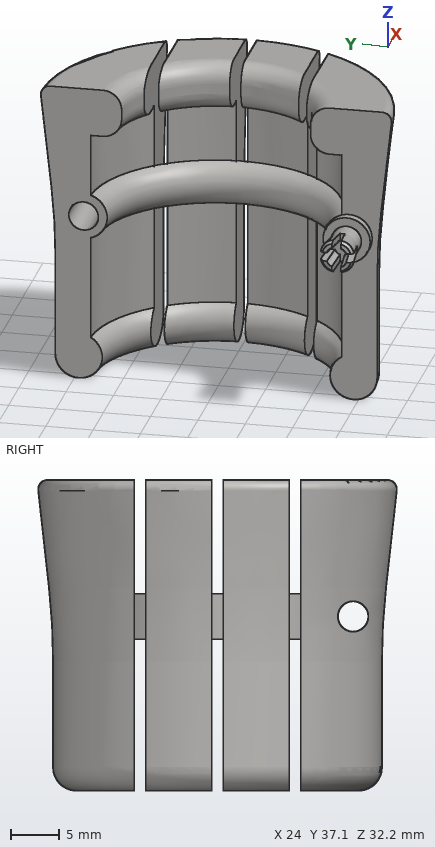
import cadquery as cq
import math

height = 32.15
axis_setback = 0.55

wall_outer_radius = 17.0
wall_inner_radius = 13.27
flare_start_height = 13.35
flare_end_height = 21.02
flare_angle = math.radians(6.3)
rim_fillet = 1.0

bottom_bead_radius = 2.5
lip_inner_radius = 10.0
lip_thickness = 5.1
lip_fillet = 2.0
lip_overlap = 1.1
middle_bead_radius = 2.5
middle_bead_ring_radius = 14.0
middle_bead_height = 18.0

slot_width = 1.2
slot_pitch = 8.0

hole_radius = 1.55
pin_flange_length = 1.0
pin_shaft_radius = 1.55
pin_shaft_end = 3.1
pin_tip = 6.1
prong_slot_width = 0.5
prong_bore_radius = 0.8
prong_chamfer_length = 0.37
prong_chamfer_depth = 0.3
prong_tilt = 6.5
prong_root_overlap = 0.37

oversize = 74.15


def spin(profile):
    """Revolve a closed profile of radius and height about the vertical ring axis."""
    return profile.revolve(360, (0, 0, 0), (0, 1, 0))


def make_bead(ring_radius, center_height, bead_radius):
    return cq.Workplane(cq.Solid.makeTorus(ring_radius, bead_radius, cq.Vector(0, 0, center_height)))


def make_wall():
    flare_rise = flare_end_height - flare_start_height
    flare_radius = flare_rise / math.sin(flare_angle)
    half_angle = flare_angle / 2
    arc_middle = (
        wall_outer_radius + flare_radius * (1 - math.cos(half_angle)),
        flare_start_height + flare_radius * math.sin(half_angle),
    )
    arc_end_radius = wall_outer_radius + flare_radius * (1 - math.cos(flare_angle))
    rim_radius = arc_end_radius + (height - flare_end_height) * math.tan(flare_angle)
    wall = spin(
        cq.Workplane("XZ")
        .moveTo(wall_inner_radius, bottom_bead_radius)
        .lineTo(wall_outer_radius, bottom_bead_radius)
        .lineTo(wall_outer_radius, flare_start_height)
        .threePointArc(arc_middle, (arc_end_radius, flare_end_height))
        .lineTo(rim_radius, height)
        .lineTo(wall_inner_radius, height)
        .close()
    )
    rim_edge = cq.selectors.RadiusNthSelector(-1)
    return wall.faces(">Z").edges(rim_edge).fillet(rim_fillet)


def make_lip():
    width = wall_inner_radius - lip_inner_radius + lip_overlap
    lip = spin(
        cq.Workplane("XZ")
        .moveTo(lip_inner_radius, height - lip_thickness)
        .rect(width, lip_thickness, centered=False)
    )
    inner_edges = cq.selectors.RadiusNthSelector(0)
    return lip.edges("%CIRCLE").edges(inner_edges).fillet(lip_fillet)


def make_ring():
    bottom_bead = make_bead(wall_outer_radius - bottom_bead_radius, bottom_bead_radius, bottom_bead_radius)
    ring = make_wall().union(make_lip()).union(bottom_bead)
    for index in (-1, 0, 1):
        slot = cq.Workplane("XY").box(oversize, slot_width, oversize)
        ring = ring.cut(slot.translate((0, index * slot_pitch, 0)))

    middle_bead = make_bead(middle_bead_ring_radius, middle_bead_height, middle_bead_radius)
    bore = cq.Workplane("XY").circle(wall_inner_radius).extrude(height)
    ring = ring.union(middle_bead.intersect(bore))

    front_space = cq.Workplane("XY").box(oversize, oversize, oversize, centered=(False, True, True))
    return ring.translate((-axis_setback, 0, 0)).intersect(front_space)


def rod(radius, length):
    """A cylinder standing out from the split face along -X."""
    return cq.Workplane("YZ", origin=(-length, 0, 0)).circle(radius).extrude(length)


def make_prongs():
    root = pin_shaft_end - prong_root_overlap
    chamfer_start = pin_tip - prong_chamfer_length
    tip_radius = pin_shaft_radius - prong_chamfer_depth
    blank = (
        cq.Workplane("XY")
        .moveTo(-root, prong_bore_radius)
        .lineTo(-root, pin_shaft_radius)
        .lineTo(-chamfer_start, pin_shaft_radius)
        .lineTo(-pin_tip, tip_radius)
        .lineTo(-pin_tip, prong_bore_radius)
        .close()
        .revolve(360, (0, 0, 0), (1, 0, 0))
    )
    quadrant = cq.Workplane("XY").box(oversize, oversize, oversize, centered=(True, False, False))
    quadrant = quadrant.translate((0, prong_slot_width / 2, prong_slot_width / 2))
    hinge_start = (-pin_shaft_end, 0, 0)
    hinge_end = (-pin_shaft_end, 0.37, -0.37)
    prong = blank.intersect(quadrant).rotate(hinge_start, hinge_end, prong_tilt)
    return [prong.rotate((0, 0, 0), (1, 0, 0), 90 * quarter) for quarter in range(4)]


def make_pin():
    pin = rod(middle_bead_radius, pin_flange_length).union(rod(pin_shaft_radius, pin_shaft_end))
    for prong in make_prongs():
        pin = pin.union(prong)
    return pin.translate((0, -middle_bead_ring_radius, middle_bead_height))


def make_socket_hole():
    hole = cq.Workplane("YZ").circle(hole_radius).extrude(oversize)
    return hole.translate((0, middle_bead_ring_radius, middle_bead_height))


result = make_ring().cut(make_socket_hole()).union(make_pin())